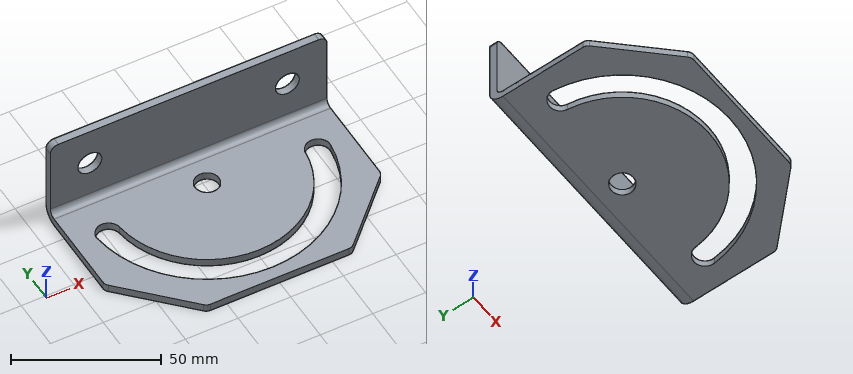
import cadquery as cq
import math

width = 105.0
depth = 65.0
height = 35.0
thickness = 3.0
inner_bend_radius = 2.5
outer_bend_radius = inner_bend_radius + thickness
corner_radius = 3.0
front_corner_cut = 25.0

hole_diameter = 9.0
wall_hole_spacing = 75.0
wall_hole_height = 20.0
pivot_from_back = 15.5
slot_radius = 40.0
slot_end_angle = 6.2

pivot_y = -pivot_from_back


def make_bent_sheet():
    """L-shaped sheet with a rounded bend; the back face lies at Y = 0."""
    sheet = (
        cq.Workplane("YZ")
        .polyline([
            (0, 0),
            (0, height),
            (-thickness, height),
            (-thickness, thickness),
            (-depth, thickness),
            (-depth, 0),
        ])
        .close()
        .extrude(width / 2, both=True)
    )
    inner_edge = cq.selectors.NearestToPointSelector((0, -thickness, thickness))
    sheet = sheet.edges(inner_edge).fillet(inner_bend_radius)
    outer_edge = cq.selectors.NearestToPointSelector((0, 0, 0))
    return sheet.edges(outer_edge).fillet(outer_bend_radius)


def shape_corners(sheet):
    """Cut the front corners at 45 degrees, then round the sheet corners."""
    sheet = sheet.edges("|Z and <Y").chamfer(front_corner_cut)
    sheet = sheet.edges("|Z").edges("<Z").fillet(corner_radius)
    return sheet.edges("|Y and >Z").fillet(corner_radius)


def slot_point(radius, angle):
    """Point at the given radius and angle (degrees) about the pivot."""
    turn = math.radians(angle)
    return radius * math.cos(turn), pivot_y + radius * math.sin(turn)


def make_arc_slot():
    """Round-ended slot curving around the front of the pivot hole."""
    half_width = hole_diameter / 2
    inner = slot_radius - half_width
    outer = slot_radius + half_width
    left = 180 + slot_end_angle
    right = 360 - slot_end_angle
    front = 270
    cap_reach = math.hypot(slot_radius, half_width)
    cap_angle = math.degrees(math.atan2(half_width, slot_radius))
    return (
        cq.Workplane("XY")
        .moveTo(*slot_point(outer, left))
        .threePointArc(slot_point(outer, front), slot_point(outer, right))
        .threePointArc(slot_point(cap_reach, right + cap_angle), slot_point(inner, right))
        .threePointArc(slot_point(inner, front), slot_point(inner, left))
        .threePointArc(slot_point(cap_reach, left - cap_angle), slot_point(outer, left))
        .close()
        .extrude(thickness)
    )


def make_pivot_hole():
    return cq.Workplane("XY").center(0, pivot_y).circle(hole_diameter / 2).extrude(thickness)


def make_wall_holes():
    """Pair of mounting holes through the upright wall."""
    return (
        cq.Workplane("XZ")
        .pushPoints([(side * wall_hole_spacing / 2, wall_hole_height) for side in (-1, 1)])
        .circle(hole_diameter / 2)
        .extrude(thickness)
    )


result = (
    shape_corners(make_bent_sheet())
    .cut(make_arc_slot())
    .cut(make_pivot_hole())
    .cut(make_wall_holes())
)